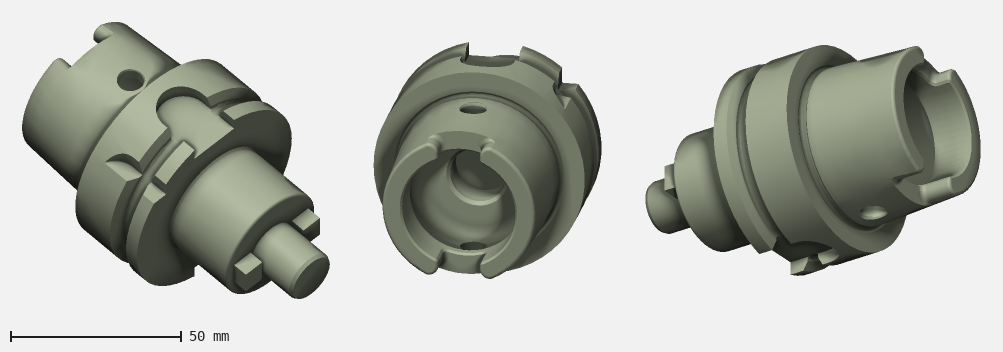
import cadquery as cq
import math

TOTAL_LENGTH = 99.0
FLANGE_START = 32.0
FLANGE_WIDTH = 26.0
FLANGE_END = FLANGE_START + FLANGE_WIDTH
HUB_END = 82.0

TAPER_END = 29.9
TAPER_BIG_RADIUS = 24.3
TAPER_SLOPE = 1 / 20
NECK_RADIUS = 23.9
NECK_STEP_LENGTH = 0.5
RELIEF_RADIUS = 1.0
RELIEF_DEPTH = 0.3
RELIEF_RIM_RADIUS = 25.4

FLANGE_RADIUS = 31.5
GROOVE_RADIUS = 27.3
GROOVE_CENTER = 50.0
GROOVE_MOUTH_WIDTH = 6.8
GROOVE_FLANK_ANGLE = 60
GROOVE_SLOT_WIDTH = 3.8
GROOVE_CORNER = 0.9

HUB_RADIUS = 18.0
HUB_EDGE_FILLET = 0.9
HUB_FLARE = 0.4
HUB_FLARE_LENGTH = 0.8
PILOT_RADIUS = 8.0
PILOT_EDGE_LENGTH = 1.2
PILOT_EDGE_DROP = 0.6
KEY_INNER = 8.4
KEY_OUTER = 15.0
KEY_WIDTH = 8.0
KEY_LENGTH = 4.95

CAVITY_RADIUS = 16.9
CAVITY_EDGE = 0.6
CAVITY_NECK_END = 12.7
CHAMBER_RADIUS = 19.9
CHAMBER_SHOULDER_ANGLE = 60
CHAMBER_CORNER = 4.2
CAVITY_DEPTH = 29.4
CENTER_BORE_RADIUS = 8.3
CENTER_BORE_EDGE = 1.0
CENTER_BORE_DEPTH = 9.9

CROSS_HOLE_X = 22.8
CROSS_HOLE_RADIUS = 3.9
CROSS_HOLE_EDGE = 0.4
CROSS_HOLE_EDGE_DEPTH = 0.8

SLOT_HALF_WIDTH = 6.2
SLOT_TOP_DEPTH = 6.0
SLOT_BOTTOM_DEPTH = 9.9
SLOT_FLAT_HEIGHT = 20.7
SLOT_FLARE_RADIUS = 2.9
SLOT_FLOOR_FILLET = 1.5
MOUTH_FILLET = 1.0
TOLERANCE = 0.01

KEYWAY_HALF_WIDTH = 8.0
KEYWAY_FLOOR = 26.3
KEYWAY_START = 36.9
NOTCH_OFFSET = 19.7
NOTCH_ROOT_FILLET = 0.4
NOTCH_START_CENTER = 44.2
NOTCH_END_RADIUS = 7.4


def taper_radius(x):
    """Shank radius at a station on the taper."""
    return TAPER_BIG_RADIUS - TAPER_SLOPE * (TAPER_END - x)


def revolve_about_x(profile):
    """Close a half profile along the axis and turn it into a solid."""
    return profile.close().revolve(360, (0, 0, 0), (1, 0, 0))


def turned_body():
    """Outer profile revolved about the X axis."""
    mouth = GROOVE_MOUTH_WIDTH / 2
    slot = GROOVE_SLOT_WIDTH / 2
    shoulder = FLANGE_RADIUS - (mouth - slot) * math.tan(math.radians(GROOVE_FLANK_ANGLE))
    floor = slot - GROOVE_CORNER
    relief_end = FLANGE_START + RELIEF_DEPTH
    profile = (
        cq.Workplane("XY")
        .lineTo(0, taper_radius(0))
        .lineTo(TAPER_END, TAPER_BIG_RADIUS)
        .lineTo(TAPER_END + NECK_STEP_LENGTH, NECK_RADIUS)
        .lineTo(relief_end - RELIEF_RADIUS, NECK_RADIUS)
        .radiusArc((relief_end, NECK_RADIUS + RELIEF_RADIUS), -RELIEF_RADIUS)
        .lineTo(FLANGE_START, RELIEF_RIM_RADIUS)
        .lineTo(FLANGE_START, FLANGE_RADIUS)
        .lineTo(GROOVE_CENTER - mouth, FLANGE_RADIUS)
        .lineTo(GROOVE_CENTER - slot, shoulder)
        .lineTo(GROOVE_CENTER - slot, GROOVE_RADIUS + GROOVE_CORNER)
        .radiusArc((GROOVE_CENTER - floor, GROOVE_RADIUS), -GROOVE_CORNER)
        .lineTo(GROOVE_CENTER + floor, GROOVE_RADIUS)
        .radiusArc((GROOVE_CENTER + slot, GROOVE_RADIUS + GROOVE_CORNER), -GROOVE_CORNER)
        .lineTo(GROOVE_CENTER + slot, shoulder)
        .lineTo(GROOVE_CENTER + mouth, FLANGE_RADIUS)
        .lineTo(FLANGE_END, FLANGE_RADIUS)
        .lineTo(FLANGE_END, HUB_RADIUS + HUB_FLARE)
        .lineTo(FLANGE_END + HUB_FLARE_LENGTH, HUB_RADIUS)
        .lineTo(HUB_END - HUB_EDGE_FILLET, HUB_RADIUS)
        .radiusArc((HUB_END, HUB_RADIUS - HUB_EDGE_FILLET), HUB_EDGE_FILLET)
        .lineTo(HUB_END, PILOT_RADIUS)
        .lineTo(TOTAL_LENGTH - PILOT_EDGE_LENGTH, PILOT_RADIUS)
        .lineTo(TOTAL_LENGTH, PILOT_RADIUS - PILOT_EDGE_DROP)
        .lineTo(TOTAL_LENGTH, 0)
    )
    return revolve_about_x(profile)


def cavity():
    """Bore that widens into a chamber, with a shallow recess in the chamber floor."""
    shoulder_rise = CHAMBER_RADIUS - CAVITY_RADIUS
    shoulder_length = shoulder_rise / math.tan(math.radians(CHAMBER_SHOULDER_ANGLE))
    recess_floor = CAVITY_DEPTH + CENTER_BORE_DEPTH
    profile = (
        cq.Workplane("XY")
        .lineTo(0, CAVITY_RADIUS)
        .lineTo(CAVITY_NECK_END, CAVITY_RADIUS)
        .lineTo(CAVITY_NECK_END + shoulder_length, CHAMBER_RADIUS)
        .lineTo(CAVITY_DEPTH - CHAMBER_CORNER, CHAMBER_RADIUS)
        .radiusArc((CAVITY_DEPTH, CHAMBER_RADIUS - CHAMBER_CORNER), CHAMBER_CORNER)
        .lineTo(CAVITY_DEPTH, CENTER_BORE_RADIUS + CENTER_BORE_EDGE)
        .lineTo(CAVITY_DEPTH + CENTER_BORE_EDGE, CENTER_BORE_RADIUS)
        .lineTo(recess_floor, CENTER_BORE_RADIUS)
        .lineTo(recess_floor, 0)
    )
    return revolve_about_x(profile)


def drive_slot(depth):
    """Slot cutter at +Z: straight walls that round over into a flat above the shank wall."""
    lead = 2 * SLOT_FLOOR_FILLET
    flare_start = SLOT_FLAT_HEIGHT - SLOT_FLARE_RADIUS
    flare_end = SLOT_HALF_WIDTH + SLOT_FLARE_RADIUS
    bottom = CAVITY_RADIUS / 2
    outside = TAPER_BIG_RADIUS
    cutter = (
        cq.Workplane("YZ", origin=(-lead, 0, 0))
        .moveTo(-SLOT_HALF_WIDTH, bottom)
        .lineTo(SLOT_HALF_WIDTH, bottom)
        .lineTo(SLOT_HALF_WIDTH, flare_start)
        .radiusArc((flare_end, SLOT_FLAT_HEIGHT), SLOT_FLARE_RADIUS)
        .lineTo(outside, SLOT_FLAT_HEIGHT)
        .lineTo(outside, 2 * outside)
        .lineTo(-outside, 2 * outside)
        .lineTo(-outside, SLOT_FLAT_HEIGHT)
        .lineTo(-flare_end, SLOT_FLAT_HEIGHT)
        .radiusArc((-SLOT_HALF_WIDTH, flare_start), SLOT_FLARE_RADIUS)
        .close()
        .extrude(lead + depth)
    )
    return cutter.faces(">X").edges().fillet(SLOT_FLOOR_FILLET)


def cross_holes():
    """Through hole along Z, chamfered where it leaves the shank."""
    surface = taper_radius(CROSS_HOLE_X)
    profile = [
        (0, 0),
        (CROSS_HOLE_RADIUS, 0),
        (CROSS_HOLE_RADIUS, surface - CROSS_HOLE_EDGE_DEPTH),
        (CROSS_HOLE_RADIUS + CROSS_HOLE_EDGE, surface),
        (CROSS_HOLE_RADIUS + CROSS_HOLE_EDGE, TAPER_BIG_RADIUS),
        (0, TAPER_BIG_RADIUS),
    ]
    upper = (
        cq.Workplane("XZ", origin=(CROSS_HOLE_X, 0, 0))
        .polyline(profile)
        .close()
        .revolve(360, (0, 0, 0), (0, 1, 0))
    )
    return upper.union(upper.mirror("XY"))


def keyway():
    """Round-ended keyway cutter at +Z, open at the hub side of the flange."""
    center = KEYWAY_START + KEYWAY_HALF_WIDTH
    return (
        cq.Workplane("XY", origin=(0, 0, KEYWAY_FLOOR))
        .moveTo(FLANGE_END, KEYWAY_HALF_WIDTH)
        .lineTo(center, KEYWAY_HALF_WIDTH)
        .threePointArc((KEYWAY_START, 0), (center, -KEYWAY_HALF_WIDTH))
        .lineTo(FLANGE_END, -KEYWAY_HALF_WIDTH)
        .close()
        .extrude(FLANGE_RADIUS - KEYWAY_FLOOR)
    )


def notch():
    """L-shaped corner notch at -Y +Z with a rounded end, open at the hub side."""
    end_start = NOTCH_START_CENTER - NOTCH_END_RADIUS
    cutter = (
        cq.Workplane("XY", origin=(0, 0, NOTCH_OFFSET))
        .moveTo(FLANGE_END, -NOTCH_OFFSET)
        .lineTo(NOTCH_START_CENTER, -NOTCH_OFFSET)
        .radiusArc((end_start, -NOTCH_OFFSET - NOTCH_END_RADIUS), -NOTCH_END_RADIUS)
        .lineTo(end_start, -FLANGE_RADIUS)
        .lineTo(FLANGE_END, -FLANGE_RADIUS)
        .close()
        .extrude(FLANGE_RADIUS - NOTCH_OFFSET)
    )
    return cutter.edges("<Z").edges("|X").edges(">Y").fillet(NOTCH_ROOT_FILLET)


def drive_keys():
    """Two square-ended keys on the hub face, either side of the pilot."""
    radial = KEY_OUTER - KEY_INNER
    middle = (KEY_OUTER + KEY_INNER) / 2
    return (
        cq.Workplane("YZ", origin=(HUB_END, 0, 0))
        .pushPoints([(middle, 0), (-middle, 0)])
        .rect(radial, KEY_WIDTH)
        .extrude(KEY_LENGTH)
    )


def is_cavity_rim(edge):
    """True for the arcs where the cavity meets the shank mouth or a slot floor."""
    if edge.geomType() != "CIRCLE" or edge.Center().x > SLOT_BOTTOM_DEPTH + TOLERANCE:
        return False
    return abs(edge.radius() - CAVITY_RADIUS) < TOLERANCE


def soften_mouth(shank):
    """Round the outer edges of the mouth face, then chamfer the rim of the cavity."""
    outer = [edge for edge in shank.faces("<X").edges().vals() if not is_cavity_rim(edge)]
    rounded = shank.newObject(outer).fillet(MOUTH_FILLET)
    rim = [edge for edge in rounded.edges().vals() if is_cavity_rim(edge)]
    return rounded.newObject(rim).chamfer(CAVITY_EDGE)


body = turned_body().cut(cavity())
body = body.cut(drive_slot(SLOT_TOP_DEPTH))
body = body.cut(drive_slot(SLOT_BOTTOM_DEPTH).mirror("XY"))
body = soften_mouth(body)
body = body.cut(cross_holes())
upper_keyway = keyway()
body = body.cut(upper_keyway).cut(upper_keyway.mirror("XY")).cut(notch())
result = body.union(drive_keys())